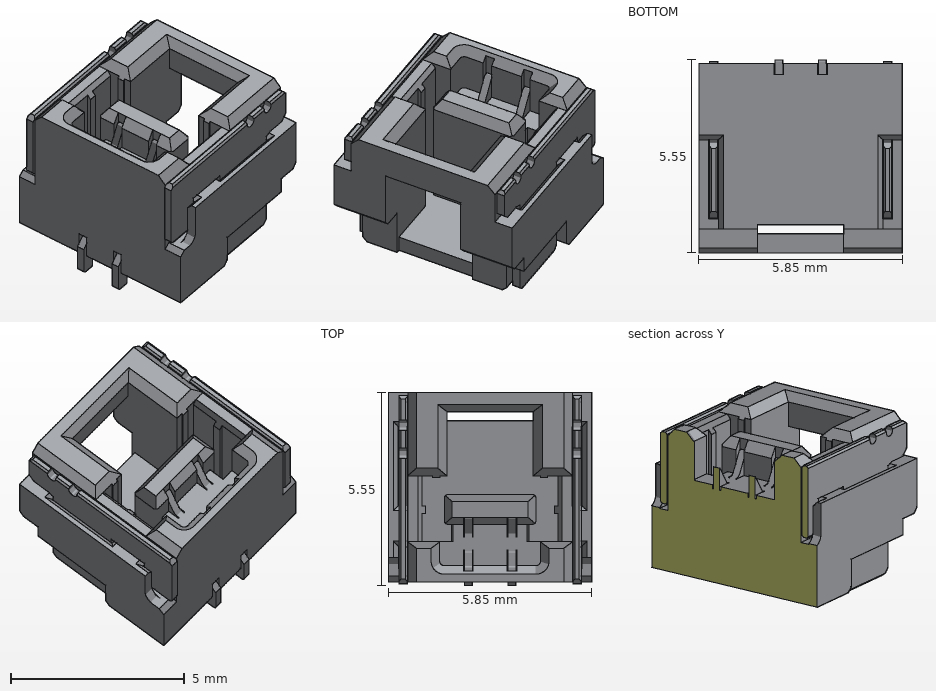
import cadquery as cq

WIDTH = 5.85
DEPTH = 5.45
HEIGHT = 4.4
UPPER_HALF = 2.365
LEDGE_Z = 3.125
BEVEL = 0.245
BEVEL_ANGLE = 45.0
BEVEL_FOOT_Z = HEIGHT - BEVEL
RIM_DROP = 0.265
RIM_Z = HEIGHT - RIM_DROP
HALF = WIDTH / 2

STEP_Y = 4.755
OVERHANG_Z = 1.48
OVERHANG_BEVEL_Y = 0.145
OVERHANG_BEVEL_Z = 0.165

CAVITY_HALF = 1.955
FRONT_BLOCK_Y = 1.165
FRONT_BLOCK_BEVEL = 0.195
POST_Y = 3.05
POST_BEVEL = 0.23
WELL_MID_Y = (FRONT_BLOCK_Y + POST_Y) / 2
FLOOR_Z = 0.5
FLOOR_END_Y = 4.645
BAY_HALF = 1.45
BAY_Y = 0.475
BAY_RADIUS = 0.135
RIM_LEAD_X = 0.115
RIM_LEAD_Z = 0.145
RAISED_FLOOR_Z = 2.985
RAISED_FLOOR_HALF = 1.065
RAISED_FLOOR_DRAFT = 0.05

WINDOW_HALF = 1.235
WINDOW_Y = 4.895
WINDOW_BEVEL_X = 0.27
WINDOW_BEVEL_Y = 0.205
BRIDGE_Z = 3.395

TONGUE_HALF = 1.315
TONGUE_Y0 = 1.66
TONGUE_Y1 = 2.515
TONGUE_Z = 4.02
TONGUE_BEVEL_X = 0.22
TONGUE_BEVEL_Y = 0.2
TONGUE_BEVEL_Z = 0.31
TONGUE_CORNER = 0.1

WALL_RIB_Y0 = 1.965
WALL_RIB_Y1 = 2.195
WALL_RIB_HEIGHT = 0.1
POST_RIB_X = 1.55
POST_RIB_WIDTH = 0.21
POST_RIB_HEIGHT = 0.045

PLATE_GAP = 0.02
PLATE_THICK = 0.24
PLATE_IN = UPPER_HALF + PLATE_GAP
SLOT_WIDTH = PLATE_THICK + 2 * PLATE_GAP
SLOT_OUT = UPPER_HALF + SLOT_WIDTH
PLATE_FRONT_Y = -0.05
PLATE_REAR_Y = 5.365
PLATE_TOP_Z = 4.24
PLATE_REAR_Z = 3.2
PLATE_CORNER = 0.135
PLATE_REAR_BEVEL = 0.195
PLATE_REAR_TOP_BEVEL = 0.095
PLATE_NOSE_LENGTH = 0.73
PLATE_EDGE = 0.06
TAB_Y0 = 2.25
TAB_Y1 = 4.44
TAB_Z = -0.175
TAB_BEVEL = 0.19
LEG_Y1 = 0.995
LEG_Z = 2.035
TAB_SLOT_Y0 = 2.2
TAB_SLOT_Y1 = 4.47
LEG_SLOT_Y1 = 1.03
LEAD_IN = 0.145
NOTCH_CENTRES_Y = (3.705, 4.51)
NOTCH_RADIUS = 0.15
NOTCH_Z = 4.16

FRONT_NOTCH_Y = 0.7
FRONT_NOTCH_Z = 1.87
FRONT_NOTCH_RADIUS = 0.31
FRONT_NOTCH_BEVEL_Y = 0.17
FRONT_NOTCH_BEVEL_Z = 0.14
POCKET_Z = 0.98
POCKET_BEVEL = 0.14

CONTACT_X = 0.625
CONTACT_WIDTH = 0.23
CONTACT_SLOT_WIDTH = 0.28
CONTACT_FRONT_Y = -0.1
CONTACT_BACK_Y = 0.315
CONTACT_TIP_Z = -0.6
CONTACT_SHOULDER_Z = 0.29
CONTACT_TIP_RADIUS = 0.1
CONTACT_TOP_Z = 0.53
CONTACT_TOP_RADIUS = 0.175
CONTACT_SLOT_TOP_Z = 0.695
FRONT_ARM_TOE_Y = 0.92
FRONT_ARM_KNEE_Y = 0.865
FRONT_ARM_CREST_Y = 0.42
FRONT_ARM_TOE_RADIUS = 0.09
FRONT_ARM_CREST_RADIUS = 0.13
REAR_ARM_TOE_Y = 1.3
REAR_ARM_KNEE_Y = 1.44
REAR_ARM_CREST_Y = 1.8
REAR_ARM_BACK_Y = 1.86
REAR_ARM_TOE_RADIUS = 0.22
REAR_ARM_CREST_RADIUS = 0.09
ARM_TOP_Z = 3.685
SLOT_DEPTH = 0.115
ARM_ROOT = 0.175


def box(x0, x1, y0, y1, z0, z1):
    """Axis-aligned block between two corners."""
    return cq.Workplane("XY").box(x1 - x0, y1 - y0, z1 - z0, centered=False).translate((x0, y0, z0))


def side_profile(points, x0, x1):
    """Polygon of (y, z) points extruded from x0 to x1."""
    return cq.Workplane("YZ").workplane(offset=x0).polyline(points).close().extrude(x1 - x0)


def frustum(rect_low, z_low, rect_high, z_high):
    """Loft between two rectangles, each given as (x0, x1, y0, y1)."""
    def outline(plane, rect):
        x0, x1, y0, y1 = rect
        return plane.polyline([(x0, y0), (x1, y0), (x1, y1), (x0, y1)]).close()

    low = outline(cq.Workplane("XY").workplane(offset=z_low), rect_low)
    return outline(low.workplane(offset=z_high - z_low), rect_high).loft(ruled=True)


def both_sides(shape):
    """Shape together with its mirror image across X = 0."""
    return shape.union(shape.mirror("YZ"))


def housing_block():
    """Wide lower block, narrow bevelled upper block and the rear overhang."""
    top_half = UPPER_HALF - BEVEL
    right_half = [
        (HALF, 0),
        (HALF, LEDGE_Z),
        (UPPER_HALF, LEDGE_Z),
        (UPPER_HALF, BEVEL_FOOT_Z),
        (top_half, HEIGHT),
    ]
    left_half = [(-x, z) for x, z in reversed(right_half)]
    block = cq.Workplane("XZ").polyline(right_half + left_half).close().extrude(-DEPTH)
    under_overhang = side_profile(
        [
            (STEP_Y, 0),
            (STEP_Y, OVERHANG_Z),
            (DEPTH - OVERHANG_BEVEL_Y, OVERHANG_Z),
            (DEPTH, OVERHANG_Z + OVERHANG_BEVEL_Z),
            (DEPTH, 0),
        ],
        -HALF,
        HALF,
    )
    return block.cut(under_overhang)


def cavity():
    """Open interior: low side walls, main well and the narrow front bay."""
    above_rim = side_profile(
        [
            (FRONT_BLOCK_Y, RIM_Z),
            (POST_Y, RIM_Z),
            (POST_Y + POST_BEVEL, HEIGHT),
            (FRONT_BLOCK_Y - FRONT_BLOCK_BEVEL, HEIGHT),
        ],
        -HALF,
        HALF,
    )
    well = box(-CAVITY_HALF, CAVITY_HALF, FRONT_BLOCK_Y, POST_Y, FLOOR_Z, HEIGHT)
    lead_half = CAVITY_HALF + RIM_LEAD_X
    lead = frustum(
        (-CAVITY_HALF, CAVITY_HALF, FRONT_BLOCK_Y, POST_Y), RIM_Z - RIM_LEAD_Z,
        (-lead_half, lead_half, FRONT_BLOCK_Y, POST_Y), RIM_Z,
    )
    bay_block = box(-BAY_HALF, BAY_HALF, BAY_Y, WELL_MID_Y, 0, HEIGHT).edges("|Z").fillet(BAY_RADIUS)
    bay_wire = bay_block.faces("<Z").wires().val()
    bay = bay_block.intersect(box(-HALF, HALF, 0, DEPTH, RAISED_FLOOR_Z, BEVEL_FOOT_Z))
    flare = cq.Workplane("XY").add(bay_wire).toPending().extrude(BEVEL, taper=-BEVEL_ANGLE)
    flare = flare.translate((0, 0, BEVEL_FOOT_Z))
    return above_rim.union(well).union(lead).union(bay).union(flare)


def rear_window():
    """Opening between the posts, bevelled at the top and open to the rear below the bridge."""
    top_half = WINDOW_HALF + WINDOW_BEVEL_X
    shaft = box(-WINDOW_HALF, WINDOW_HALF, WELL_MID_Y, WINDOW_Y, FLOOR_Z, HEIGHT)
    bevel = frustum(
        (-WINDOW_HALF, WINDOW_HALF, WELL_MID_Y, WINDOW_Y), RIM_Z,
        (-top_half, top_half, WELL_MID_Y, WINDOW_Y + WINDOW_BEVEL_Y), HEIGHT,
    )
    rear_gap = box(-WINDOW_HALF, WINDOW_HALF, FLOOR_END_Y, DEPTH, 0, BRIDGE_Z)
    return shaft.union(bevel).union(rear_gap)


def raised_floor():
    """Plinth carrying the contacts, drafted on its two sides."""
    low_half = RAISED_FLOOR_HALF + RAISED_FLOOR_DRAFT
    return frustum(
        (-low_half, low_half, FRONT_BLOCK_Y, TONGUE_Y1), FLOOR_Z,
        (-RAISED_FLOOR_HALF, RAISED_FLOOR_HALF, FRONT_BLOCK_Y, TONGUE_Y1), RAISED_FLOOR_Z,
    )


def tongue():
    """Upright centre tongue with a bevelled crown."""
    shoulder_z = TONGUE_Z - TONGUE_BEVEL_Z
    stem = box(-TONGUE_HALF, TONGUE_HALF, TONGUE_Y0, TONGUE_Y1, FLOOR_Z, TONGUE_Z)
    stem = stem.edges("|Z").fillet(TONGUE_CORNER)
    top_half = TONGUE_HALF - TONGUE_BEVEL_X
    crown = frustum(
        (-TONGUE_HALF, TONGUE_HALF, TONGUE_Y0, TONGUE_Y1), shoulder_z,
        (-top_half, top_half, TONGUE_Y0 + TONGUE_BEVEL_Y, TONGUE_Y1 - TONGUE_BEVEL_Y), TONGUE_Z,
    )
    below_crown = box(-HALF, HALF, 0, DEPTH, FLOOR_Z, shoulder_z)
    return stem.intersect(crown.union(below_crown))


def crush_ribs():
    """Small vertical ribs on the side walls and post fronts, their tops continuing the bevels above."""
    wall_face_z = RIM_Z - RIM_LEAD_Z
    wall_drop = WALL_RIB_HEIGHT * RIM_LEAD_Z / RIM_LEAD_X
    wall_rib = cq.Workplane("XZ").polyline(
        [
            (CAVITY_HALF, FLOOR_Z),
            (CAVITY_HALF, wall_face_z),
            (CAVITY_HALF - WALL_RIB_HEIGHT, wall_face_z - wall_drop),
            (CAVITY_HALF - WALL_RIB_HEIGHT, FLOOR_Z),
        ]
    ).close().extrude(WALL_RIB_Y0 - WALL_RIB_Y1).translate((0, WALL_RIB_Y0, 0))
    post_drop = POST_RIB_HEIGHT * RIM_DROP / POST_BEVEL
    rib_x0 = POST_RIB_X - POST_RIB_WIDTH / 2
    post_rib = side_profile(
        [
            (POST_Y, FLOOR_Z),
            (POST_Y, RIM_Z),
            (POST_Y - POST_RIB_HEIGHT, RIM_Z - post_drop),
            (POST_Y - POST_RIB_HEIGHT, FLOOR_Z),
        ],
        rib_x0,
        rib_x0 + POST_RIB_WIDTH,
    )
    return both_sides(wall_rib.union(post_rib))


def slot_lead_in(y0, y1):
    """Bevelled mouth along the outer edge of a plate slot at the ledge."""
    return frustum(
        (UPPER_HALF, SLOT_OUT, y0, y1), LEDGE_Z - LEAD_IN,
        (UPPER_HALF, SLOT_OUT + LEAD_IN, y0 - LEAD_IN, y1 + LEAD_IN), LEDGE_Z,
    )


def plate_slots():
    """Through slot for the plate tab and shallow slot for the plate leg."""
    tab_slot = box(UPPER_HALF, SLOT_OUT, TAB_SLOT_Y0, TAB_SLOT_Y1, 0, LEDGE_Z)
    leg_slot = box(UPPER_HALF, SLOT_OUT, 0, LEG_SLOT_Y1, FRONT_NOTCH_Z, LEDGE_Z)
    slots = tab_slot.union(leg_slot)
    slots = slots.union(slot_lead_in(TAB_SLOT_Y0, TAB_SLOT_Y1))
    return both_sides(slots.union(slot_lead_in(0, LEG_SLOT_Y1)))


def front_notches():
    """Open corner at the front of each ledge, rounded at its inner foot."""
    notch = box(UPPER_HALF, HALF, 0, FRONT_NOTCH_Y, FRONT_NOTCH_Z, LEDGE_Z)
    notch = notch.edges("|X and >Y and <Z").fillet(FRONT_NOTCH_RADIUS)
    lip = side_profile(
        [
            (0, FRONT_NOTCH_Z),
            (FRONT_NOTCH_BEVEL_Y, FRONT_NOTCH_Z),
            (0, FRONT_NOTCH_Z - FRONT_NOTCH_BEVEL_Z),
        ],
        UPPER_HALF,
        HALF,
    )
    return both_sides(notch.union(lip))


def side_pockets():
    """Lower rear corner pockets that expose the plate tabs, bevelled at the underside."""
    pocket = box(UPPER_HALF, HALF, TAB_SLOT_Y0, STEP_Y, 0, POCKET_Z)
    mouth = frustum(
        (UPPER_HALF - POCKET_BEVEL, HALF, TAB_SLOT_Y0 - POCKET_BEVEL, STEP_Y), 0,
        (UPPER_HALF, HALF, TAB_SLOT_Y0, STEP_Y), POCKET_BEVEL,
    )
    return both_sides(pocket.union(mouth))


def long_edge_bevel(y0, y1, z, direction):
    """Pair of prisms that bevel both faces of the plate along an edge at height z."""
    plate_out = PLATE_IN + PLATE_THICK
    prisms = cq.Workplane("XZ")
    for face_x, inward in ((PLATE_IN, 1), (plate_out, -1)):
        prisms = prisms.polyline(
            [(face_x, z), (face_x + inward * PLATE_EDGE, z), (face_x, z - direction * PLATE_EDGE)]
        ).close()
    return prisms.extrude(y0 - y1).translate((0, y0, 0))


def side_plates():
    """Retention plates: long strip, deep rear tab and short front leg."""
    outline = [
        (PLATE_FRONT_Y, LEG_Z + PLATE_CORNER),
        (PLATE_FRONT_Y + PLATE_CORNER, LEG_Z),
        (LEG_Y1, LEG_Z),
        (LEG_Y1, LEDGE_Z),
        (TAB_Y0, LEDGE_Z),
        (TAB_Y0, TAB_Z + TAB_BEVEL),
        (TAB_Y0 + TAB_BEVEL, TAB_Z),
        (TAB_Y1 - TAB_BEVEL, TAB_Z),
        (TAB_Y1, TAB_Z + TAB_BEVEL),
        (TAB_Y1, LEDGE_Z),
        (PLATE_REAR_Y - PLATE_NOSE_LENGTH, PLATE_REAR_Z),
        (PLATE_REAR_Y - PLATE_REAR_BEVEL, PLATE_REAR_Z),
        (PLATE_REAR_Y, PLATE_REAR_Z + PLATE_REAR_BEVEL),
        (PLATE_REAR_Y, PLATE_TOP_Z - PLATE_REAR_TOP_BEVEL),
        (PLATE_REAR_Y - PLATE_REAR_TOP_BEVEL, PLATE_TOP_Z),
        (PLATE_FRONT_Y + PLATE_CORNER, PLATE_TOP_Z),
        (PLATE_FRONT_Y, PLATE_TOP_Z - PLATE_CORNER),
    ]
    plate = side_profile(outline, PLATE_IN, PLATE_IN + PLATE_THICK)
    plate = plate.cut(long_edge_bevel(PLATE_FRONT_Y, PLATE_REAR_Y, PLATE_TOP_Z, 1))
    plate = plate.cut(long_edge_bevel(PLATE_FRONT_Y, LEG_Y1, LEG_Z, -1))
    plate = plate.cut(long_edge_bevel(TAB_Y0, TAB_Y1, TAB_Z, -1))
    for y in NOTCH_CENTRES_Y:
        groove = cq.Workplane("YZ").center(y, NOTCH_Z).circle(NOTCH_RADIUS).extrude(HALF)
        mouth = box(0, HALF, y - NOTCH_RADIUS, y + NOTCH_RADIUS, NOTCH_Z, HEIGHT)
        plate = plate.cut(groove).cut(mouth)
    return both_sides(plate)


def round_corner(contact, y, z, radius):
    """Round the contact edge that runs along X through (y, z)."""
    return contact.edges(cq.NearestToPointSelector((CONTACT_X, y, z))).fillet(radius)


def contact_slots():
    """Clearance around each contact: front wall exit, front arm slot and tongue groove."""
    x0 = CONTACT_X - CONTACT_SLOT_WIDTH / 2
    x1 = x0 + CONTACT_SLOT_WIDTH
    wall_exit = side_profile(
        [(0, 0), (0, CONTACT_SLOT_TOP_Z), (CONTACT_BACK_Y, CONTACT_TOP_Z), (CONTACT_BACK_Y, 0)], x0, x1
    )
    slot_z = RAISED_FLOOR_Z - SLOT_DEPTH
    front_slot = box(x0, x1, CONTACT_BACK_Y, FRONT_ARM_TOE_Y, slot_z, HEIGHT)
    tongue_groove = box(x0, x1, REAR_ARM_TOE_Y, REAR_ARM_BACK_Y, slot_z, TONGUE_Z)
    return both_sides(wall_exit.union(front_slot).union(tongue_groove))


def contact_leg():
    """Board leg in front of the wall, with a sloped shoulder running into the wall."""
    shoulder_y = CONTACT_FRONT_Y + CONTACT_TOP_Z - CONTACT_SHOULDER_Z
    leg = side_profile(
        [
            (CONTACT_FRONT_Y, CONTACT_TIP_Z),
            (CONTACT_FRONT_Y, CONTACT_SHOULDER_Z),
            (shoulder_y, CONTACT_TOP_Z),
            (CONTACT_BACK_Y, CONTACT_TOP_Z),
            (CONTACT_BACK_Y, CONTACT_TIP_Z),
        ],
        CONTACT_X - CONTACT_WIDTH / 2,
        CONTACT_X + CONTACT_WIDTH / 2,
    )
    leg = round_corner(leg, shoulder_y, CONTACT_TOP_Z, CONTACT_TOP_RADIUS)
    return round_corner(leg, CONTACT_FRONT_Y, CONTACT_TIP_Z, CONTACT_TIP_RADIUS)


def contact_arm(back_y, crest_y, knee_y, toe_y, crest_radius, toe_radius):
    """Sloped spring arm with a rounded crest and a rounded foot on the raised floor."""
    root_z = RAISED_FLOOR_Z - ARM_ROOT
    arm = side_profile(
        [
            (back_y, root_z),
            (back_y, ARM_TOP_Z),
            (crest_y, ARM_TOP_Z),
            (knee_y, RAISED_FLOOR_Z),
            (toe_y, RAISED_FLOOR_Z),
            (toe_y, root_z),
        ],
        CONTACT_X - CONTACT_WIDTH / 2,
        CONTACT_X + CONTACT_WIDTH / 2,
    )
    arm = round_corner(arm, crest_y, ARM_TOP_Z, crest_radius)
    return round_corner(arm, knee_y, RAISED_FLOOR_Z, toe_radius)


def contacts():
    """Two contacts, each with a board leg and two facing spring arms."""
    front_arm = contact_arm(
        CONTACT_BACK_Y, FRONT_ARM_CREST_Y, FRONT_ARM_KNEE_Y, FRONT_ARM_TOE_Y,
        FRONT_ARM_CREST_RADIUS, FRONT_ARM_TOE_RADIUS,
    )
    rear_arm = contact_arm(
        REAR_ARM_BACK_Y, REAR_ARM_CREST_Y, REAR_ARM_KNEE_Y, REAR_ARM_TOE_Y,
        REAR_ARM_CREST_RADIUS, REAR_ARM_TOE_RADIUS,
    )
    return both_sides(contact_leg().union(front_arm).union(rear_arm))


housing = housing_block().cut(cavity()).cut(rear_window())
housing = housing.union(raised_floor()).union(tongue()).union(crush_ribs())
housing = housing.cut(plate_slots()).cut(front_notches()).cut(side_pockets()).cut(contact_slots())
result = housing.union(side_plates()).union(contacts())